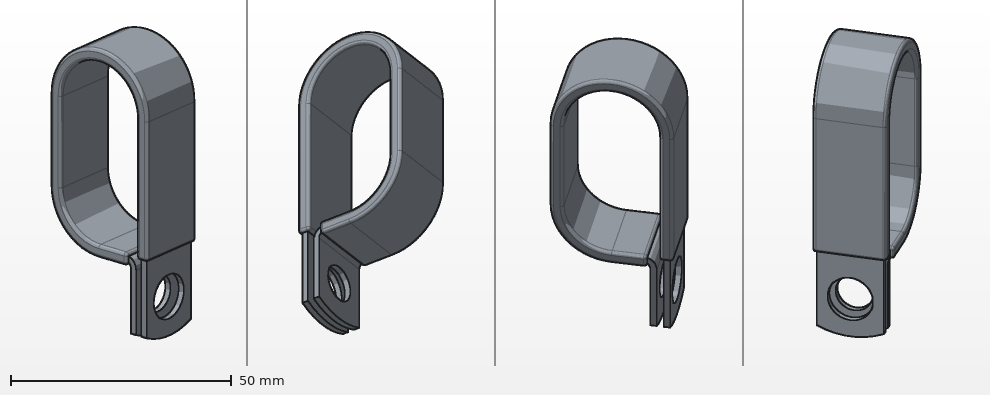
import cadquery as cq
import math


loop_bore_width = 22.225
arc_spacing = 22.225
strap_thickness = 1.524
strap_width = 15.875
cushion_thickness = 0.79375
cushion_floor_end_x = 8.17
tab_bend_radius = 1.5
overall_height = 68.92
left_hole_diameter = 8.731
right_hole_diameter = 10.716
hole_to_tip = 9.525
tab_tip_radius = 19.05

bore_radius = loop_bore_width / 2
strap_inner_radius = bore_radius + cushion_thickness
strap_outer_radius = strap_inner_radius + strap_thickness
cushion_outer_radius = strap_outer_radius + cushion_thickness
cushion_width = strap_width + 2 * cushion_thickness

lower_centre_z = -arc_spacing
strap_floor_top_z = lower_centre_z - strap_inner_radius
tip_z = cushion_outer_radius - overall_height
hole_z = tip_z + hole_to_tip

tab_gap = 2 * cushion_thickness
left_tab_outer_x = strap_inner_radius - tab_gap
left_tab_inner_x = left_tab_outer_x - strap_thickness
bend_centre_x = left_tab_inner_x - tab_bend_radius

bend_outer_radius = tab_bend_radius + strap_thickness
bend_centre_z = strap_floor_top_z - bend_outer_radius

cushion_right_end_z = strap_floor_top_z


def corner_midpoint(centre_x, centre_z, radius):
    """Middle of the upper right quarter arc about a centre."""
    reach = radius * math.sqrt(0.5)
    return centre_x + reach, centre_z + reach


def loop_band(inner_radius, outer_radius, right_end_z, floor_end_x, width):
    """Oblong loop of constant thickness, from the right leg over the top to the floor."""
    def lower_left_midpoint(radius):
        reach = radius * math.sqrt(0.5)
        return -reach, lower_centre_z - reach

    return (
        cq.Workplane("XZ")
        .moveTo(outer_radius, right_end_z)
        .lineTo(outer_radius, 0)
        .threePointArc((0, outer_radius), (-outer_radius, 0))
        .lineTo(-outer_radius, lower_centre_z)
        .threePointArc(lower_left_midpoint(outer_radius), (0, lower_centre_z - outer_radius))
        .lineTo(floor_end_x, lower_centre_z - outer_radius)
        .lineTo(floor_end_x, lower_centre_z - inner_radius)
        .lineTo(0, lower_centre_z - inner_radius)
        .threePointArc(lower_left_midpoint(inner_radius), (-inner_radius, lower_centre_z))
        .lineTo(-inner_radius, 0)
        .threePointArc((0, inner_radius), (inner_radius, 0))
        .lineTo(inner_radius, right_end_z)
        .close()
        .extrude(width / 2, both=True)
    )


def end_edges(centre_x, centre_z):
    """Selector for the cross-width edges around one end of the cushion."""
    reach = cushion_outer_radius - bore_radius
    low = (centre_x - reach, -cushion_width, centre_z - reach)
    high = (centre_x + reach, cushion_width, centre_z + reach)
    return cq.selectors.BoxSelector(low, high)


def make_cushion():
    """Rubber cushion, fully rounded down to the strap on its sides and both ends."""
    band = loop_band(
        bore_radius, cushion_outer_radius, cushion_right_end_z, cushion_floor_end_x, cushion_width
    )
    middle_radius = (bore_radius + cushion_outer_radius) / 2
    right_end = end_edges(middle_radius, cushion_right_end_z)
    floor_end = end_edges(cushion_floor_end_x, lower_centre_z - middle_radius)
    end_cross_edges = band.edges("|Y").edges(right_end + floor_end)
    return band.edges(">Y or <Y").add(end_cross_edges).fillet(cushion_thickness)


def make_left_tab():
    """Quarter bend at the end of the loop floor, followed by the straight left tab."""
    return (
        cq.Workplane("XZ")
        .moveTo(bend_centre_x, strap_floor_top_z)
        .threePointArc(
            corner_midpoint(bend_centre_x, bend_centre_z, bend_outer_radius),
            (left_tab_outer_x, bend_centre_z),
        )
        .lineTo(left_tab_outer_x, tip_z)
        .lineTo(left_tab_inner_x, tip_z)
        .lineTo(left_tab_inner_x, bend_centre_z)
        .threePointArc(
            corner_midpoint(bend_centre_x, bend_centre_z, tab_bend_radius),
            (bend_centre_x, strap_floor_top_z - strap_thickness),
        )
        .close()
        .extrude(strap_width / 2, both=True)
    )


def make_tip_trim():
    """Waste below the rounded tips, reaching through both tabs."""
    half_width = strap_width / 2
    tip_rise = tab_tip_radius - math.sqrt(tab_tip_radius**2 - half_width**2)
    return (
        cq.Workplane("YZ")
        .moveTo(-half_width, tip_z + tip_rise)
        .threePointArc((0, tip_z), (half_width, tip_z + tip_rise))
        .lineTo(half_width, tip_z - tip_rise)
        .lineTo(-half_width, tip_z - tip_rise)
        .close()
        .extrude(cushion_outer_radius)
    )


def make_tab_hole(diameter, tab_inner_x):
    """Bolt hole along X through the one tab whose inner face lies at tab_inner_x."""
    return (
        cq.Workplane("YZ", origin=(tab_inner_x, 0, hole_z))
        .circle(diameter / 2)
        .extrude(strap_thickness)
    )


def make_strap():
    """Steel strap: the loop, the bent left tab and the straight right tab."""
    loop = loop_band(strap_inner_radius, strap_outer_radius, tip_z, bend_centre_x, strap_width)
    return (
        loop.union(make_left_tab())
        .cut(make_tip_trim())
        .cut(make_tab_hole(left_hole_diameter, left_tab_inner_x))
        .cut(make_tab_hole(right_hole_diameter, strap_inner_radius))
    )


result = make_cushion().union(make_strap())